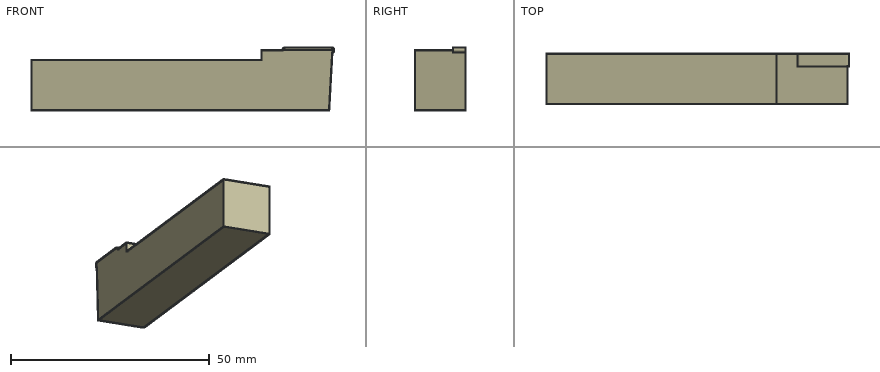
import cadquery as cq

length = 76.2
shank_width = 12.7
shank_height = 12.7
overall_height = 15.85

head_start = 57.9
head_height = 15.2
end_bottom = 75.0
end_top = 75.8

insert_start = 63.25
insert_width = 3.2
insert_radius = overall_height - head_height


def make_holder():
    """Square shank and raised head, as one side profile across the full width."""
    outline = [
        (0, 0),
        (end_bottom, 0),
        (end_top, head_height),
        (head_start, head_height),
        (head_start, shank_height),
        (0, shank_height),
    ]
    return cq.Workplane("XZ").polyline(outline).close().extrude(-shank_width)


def make_insert():
    """Round-ended bar flush with the +Y side, overhanging the end face."""
    insert_length = length - insert_start
    return (
        cq.Workplane("XZ", origin=(0, shank_width, 0))
        .center(insert_start + insert_length / 2, head_height)
        .slot2D(insert_length, 2 * insert_radius)
        .extrude(insert_width)
    )


result = make_holder().union(make_insert())